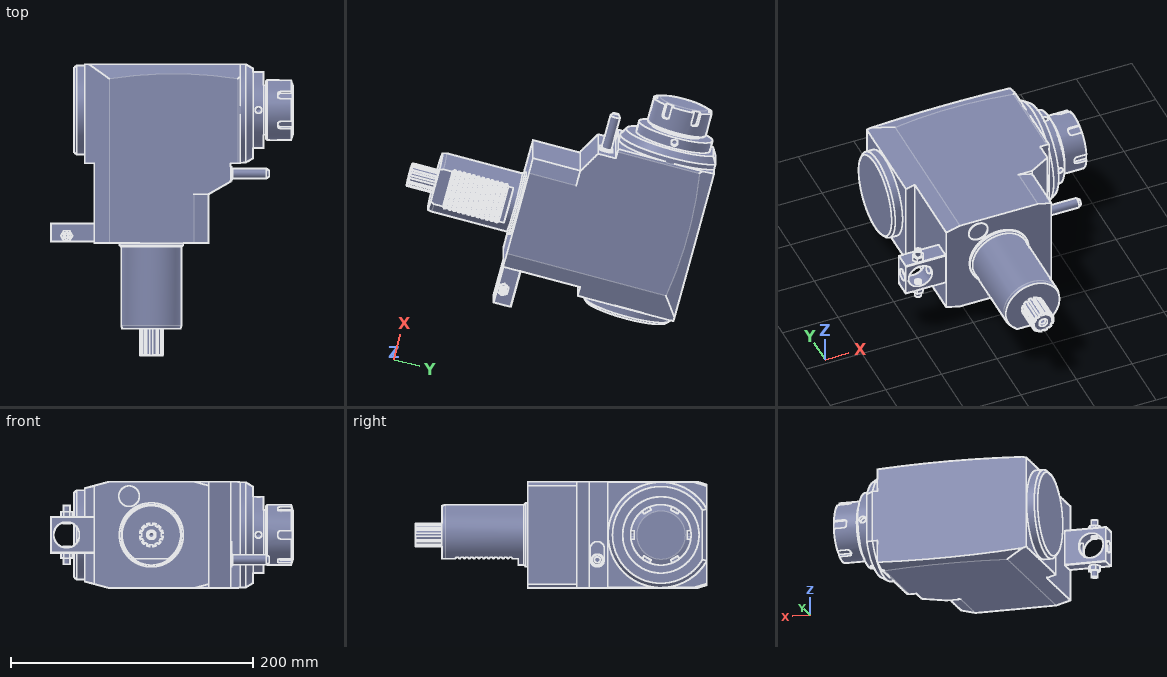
import cadquery as cq
import math


OVERLAP = 1.0

HALF_HEIGHT = 44.0
BACK_Y = 148.0
LOWER_HALF_WIDTH = 47.3
BEVEL_START_X = 35.0
BEVEL_SLOPE = math.tan(math.radians(15))
UPPER_LEFT_X = -55.2
UPPER_RIGHT_X = 73.6
RIGHT_BEVEL_X = 71.4
UPPER_BOTTOM_Y = 66.0
SHOULDER_X = 65.5
SHOULDER_Y = 50.8
NECK_Y = 40.4
CROWN_MID_Y = 140.2
CROWN_END_Y = 136.0
CROWN_SLOPE = math.tan(math.radians(17))

PLUG_X = -18.4
PLUG_Z = 32.0
PLUG_RADIUS = 8.5
PLUG_DEPTH = 0.5

SPINDLE_Y = 110.0
CAP_RADIUS = 37.0
CAP_FACE_RADIUS = 34.8
CAP_BEVEL_X = -61.8
CAP_END_X = -64.1
FLANGE_RADIUS = 43.6
FLANGE_BEVEL_X = 77.9
FLANGE_END_X = 84.0
FLANGE_BEVEL_DEPTH = 3.6
COLLAR_RADIUS = 31.6
COLLAR_END_X = 92.8
SET_SCREW_RADIUS = 2.7
SET_SCREW_X = 88.5
SET_SCREW_DEPTH = 5.0
SET_SCREW_COUNT = 4
SPINDLE_NECK_RADIUS = 20.6
NUT_START_X = 94.6
NUT_RADIUS = 25.0
NUT_BACK_CHAMFER = 1.2
NUT_RIM_X = 115.5
NUT_END_X = 117.1
NUT_FACE_RADIUS = 20.0
NUT_SLOT_COUNT = 6
NUT_SLOT_START_X = 104.5
NUT_SLOT_WIDTH = 6.8
NUT_SLOT_DEPTH = 3.0
NUT_SLOT_CORNER = 2.4

SHANK_RADIUS = 25.0
SHANK_LENGTH = 70.9
SHANK_CHAMFER_LENGTH = 2.9
SHANK_CHAMFER_DEPTH = 0.8
SHANK_COLLAR_RADIUS = 26.5
SHANK_COLLAR_LENGTH = 1.6
SHANK_FLAT_Z = -19.9
SHANK_FLAT_START = 8.0
RACK_START = 12.25
RACK_PITCH = 4.0
RACK_COUNT = 12
RACK_FLOOR = 1.2
RACK_DEPTH = 1.4
SPLINE_END = 93.0
SPLINE_RADIUS = 9.8
SPLINE_ROOT_RADIUS = 8.1
SPLINE_COUNT = 12
SPLINE_GAP = 2.3
SPLINE_CHAMFER = 0.6
CENTER_HOLE_RADIUS = 2.4
CENTER_HOLE_DEPTH = 10.0
CENTER_SINK_RADIUS = 3.8

BRACKET_END_X = -83.0
BRACKET_FRONT_Y = 1.2
BRACKET_BACK_Y = 16.4
BRACKET_HALF_HEIGHT = 15.0
BRACKET_CHAMFER = 0.5
EYE_X = -70.0
EYE_RADIUS = 10.6
SIDE_HOLE_Y = 8.7
SIDE_HOLE_RADIUS = 5.0
SIDE_HOLE_END_X = -54.0
DRILL_TIP_SLOPE = 0.5
STUD_Y = 6.1
STUD_RADIUS = 2.8
STUD_INNER_Z = 9.3
STUD_OUTER_Z = 24.4
NUT_HEX_FLATS = 8.4
NUT_HEX_HEIGHT = 4.2
SOCKET_FLATS = 2.5

PIN_Y = 57.5
PIN_Z = -20.6
PIN_RADIUS = 4.2
PIN_END_X = 97.6
PIN_CHAMFER_LENGTH = 2.6
PIN_CHAMFER_DEPTH = 1.8
PIN_SEAT_RADIUS = 5.2
PIN_SEAT_LENGTH = 1.9
PIN_PLATE_WIDTH = 11.6
PIN_PLATE_TOP_Z = -5.5
PIN_PLATE_THICKNESS = 0.8


def turned(half_profile, plane, origin):
    """Solid of revolution about the plane's local X axis; points are (along, radius)."""
    return (
        cq.Workplane(plane, origin=origin)
        .polyline(half_profile)
        .close()
        .revolve(360, (0, 0), (1, 0))
    )


def turned_about_spindle(half_profile):
    return turned(half_profile, "XY", (0, SPINDLE_Y, 0))


def turned_about_shank(half_profile):
    """Points are (distance from the mounting face toward -Y, radius)."""
    shank_plane = cq.Plane(origin=(0, 0, 0), xDir=(0, -1, 0), normal=(0, 0, 1))
    return cq.Workplane(shank_plane).polyline(half_profile).close().revolve(360, (0, 0), (1, 0))


def cylinder(start, direction, radius, length):
    return cq.Workplane(cq.Solid.makeCylinder(radius, length, cq.Vector(*start), cq.Vector(*direction)))


def bevel_z(run):
    """Half height left after a bevel has run sideways by the given distance."""
    return HALF_HEIGHT - run * BEVEL_SLOPE


def make_housing():
    outline = [
        (-LOWER_HALF_WIDTH, 0),
        (LOWER_HALF_WIDTH, 0),
        (LOWER_HALF_WIDTH, NECK_Y),
        (SHOULDER_X, SHOULDER_Y),
        (SHOULDER_X, UPPER_BOTTOM_Y),
        (UPPER_RIGHT_X, UPPER_BOTTOM_Y),
        (UPPER_RIGHT_X, BACK_Y),
        (UPPER_LEFT_X, BACK_Y),
        (UPPER_LEFT_X, UPPER_BOTTOM_Y),
        (-LOWER_HALF_WIDTH, UPPER_BOTTOM_Y),
    ]
    block = cq.Workplane("XY").polyline(outline).close().extrude(HALF_HEIGHT, both=True)

    left_z = bevel_z(-UPPER_LEFT_X - BEVEL_START_X)
    right_z = bevel_z(UPPER_RIGHT_X - RIGHT_BEVEL_X)
    section = [
        (UPPER_LEFT_X, left_z),
        (-BEVEL_START_X, HALF_HEIGHT),
        (RIGHT_BEVEL_X, HALF_HEIGHT),
        (UPPER_RIGHT_X, right_z),
        (UPPER_RIGHT_X, -right_z),
        (RIGHT_BEVEL_X, -HALF_HEIGHT),
        (-BEVEL_START_X, -HALF_HEIGHT),
        (UPPER_LEFT_X, -left_z),
    ]
    envelope = cq.Workplane("XZ").polyline(section).close().extrude(-BACK_Y)
    return block.intersect(envelope).intersect(make_crown()).cut(make_lower_right_bevels())


def make_crown():
    """Double cone, widest at mid height, whose upper and lower cones bevel the back edges."""
    half_chord = (RIGHT_BEVEL_X + BEVEL_START_X) / 2
    rise = CROWN_MID_Y - CROWN_END_Y
    edge_radius = (half_chord**2 + rise**2) / (2 * rise)
    waist_radius = edge_radius + HALF_HEIGHT / CROWN_SLOPE
    axis_x = (RIGHT_BEVEL_X - BEVEL_START_X) / 2
    axis_y = CROWN_MID_Y - edge_radius
    half_profile = [
        (0, -HALF_HEIGHT),
        (edge_radius, -HALF_HEIGHT),
        (waist_radius, 0),
        (edge_radius, HALF_HEIGHT),
        (0, HALF_HEIGHT),
    ]
    return (
        cq.Workplane("XZ", origin=(axis_x, axis_y, 0))
        .polyline(half_profile)
        .close()
        .revolve(360, (0, 0), (0, 1))
    )


def make_lower_right_bevels():
    edge_z = bevel_z(LOWER_HALF_WIDTH - BEVEL_START_X)
    wedge = (
        cq.Workplane("XZ")
        .polyline([
            (BEVEL_START_X, HALF_HEIGHT),
            (LOWER_HALF_WIDTH, edge_z),
            (LOWER_HALF_WIDTH, HALF_HEIGHT),
        ])
        .close()
        .extrude(-NECK_Y)
    )
    return wedge.union(wedge.mirror("XY"))


def make_plug_recess():
    return cylinder((PLUG_X, 0, PLUG_Z), (0, 1, 0), PLUG_RADIUS, PLUG_DEPTH)


def make_cap():
    return turned_about_spindle([
        (UPPER_LEFT_X + OVERLAP, 0),
        (UPPER_LEFT_X + OVERLAP, CAP_RADIUS),
        (CAP_BEVEL_X, CAP_RADIUS),
        (CAP_END_X, CAP_FACE_RADIUS),
        (CAP_END_X, 0),
    ])


def flange_disc(radius, top_y, start_x, end_x):
    """Disc on the spindle axis, cut off flat at the given y."""
    disc = cylinder((start_x, SPINDLE_Y, 0), (1, 0, 0), radius, end_x - start_x)
    keep = cq.Workplane("XY").box(2 * end_x, 2 * top_y, 4 * radius).translate((end_x, 0, 0))
    return disc.intersect(keep)


def make_flange():
    body = flange_disc(FLANGE_RADIUS, BACK_Y, UPPER_RIGHT_X - OVERLAP, FLANGE_END_X)
    cone = turned_about_spindle([
        (0, 0),
        (0, FLANGE_RADIUS),
        (FLANGE_BEVEL_X, FLANGE_RADIUS),
        (FLANGE_END_X, FLANGE_RADIUS - FLANGE_BEVEL_DEPTH),
        (FLANGE_END_X, 0),
    ])
    flat_bevel = (
        cq.Workplane("XY")
        .polyline([
            (FLANGE_BEVEL_X, BACK_Y),
            (FLANGE_END_X, BACK_Y),
            (FLANGE_END_X, BACK_Y - FLANGE_BEVEL_DEPTH),
        ])
        .close()
        .extrude(FLANGE_RADIUS, both=True)
    )
    return body.intersect(cone).cut(flat_bevel)


def make_spindle_nose():
    collar_and_nut = turned_about_spindle([
        (FLANGE_END_X - OVERLAP, 0),
        (FLANGE_END_X - OVERLAP, COLLAR_RADIUS),
        (COLLAR_END_X, COLLAR_RADIUS),
        (COLLAR_END_X, SPINDLE_NECK_RADIUS),
        (NUT_START_X, SPINDLE_NECK_RADIUS),
        (NUT_START_X, NUT_RADIUS - NUT_BACK_CHAMFER),
        (NUT_START_X + NUT_BACK_CHAMFER, NUT_RADIUS),
        (NUT_RIM_X, NUT_RADIUS),
        (NUT_END_X, NUT_FACE_RADIUS),
        (NUT_END_X, 0),
    ])
    for index in range(NUT_SLOT_COUNT):
        collar_and_nut = collar_and_nut.cut(about_spindle(make_nut_slot(), index, NUT_SLOT_COUNT))
    for index in range(SET_SCREW_COUNT):
        collar_and_nut = collar_and_nut.cut(about_spindle(make_set_screw_hole(), index, SET_SCREW_COUNT))
    return collar_and_nut


def about_spindle(feature, index, count):
    return feature.rotate((0, SPINDLE_Y, 0), (1, SPINDLE_Y, 0), index * 360 / count)


def make_nut_slot():
    """Wrench slot on the -Y side of the nut, open at the nut face."""
    length = NUT_END_X - NUT_SLOT_START_X + OVERLAP
    floor_y = SPINDLE_Y - NUT_RADIUS + NUT_SLOT_DEPTH
    return (
        cq.Workplane("XZ", origin=(NUT_SLOT_START_X + length / 2, floor_y, 0))
        .rect(length, NUT_SLOT_WIDTH)
        .extrude(NUT_SLOT_DEPTH + OVERLAP)
        .edges("|Y and <X")
        .fillet(NUT_SLOT_CORNER)
    )


def make_set_screw_hole():
    start_y = SPINDLE_Y - COLLAR_RADIUS - OVERLAP
    return drilled_hole((SET_SCREW_X, start_y, 0), (0, 1, 0), SET_SCREW_RADIUS, SET_SCREW_DEPTH + OVERLAP)


def drilled_hole(start, direction, radius, depth):
    """Cylinder with a drill tip at its far end."""
    axis = cq.Vector(*direction)
    tip_start = cq.Vector(*start) + axis * depth
    tip_length = radius * DRILL_TIP_SLOPE
    tip = cq.Workplane(cq.Solid.makeCone(radius, 0, tip_length, tip_start, axis))
    return cylinder(start, direction, radius, depth).union(tip)


def make_shank():
    cone_length = SHANK_COLLAR_RADIUS - SHANK_RADIUS
    shank = turned_about_shank([
        (-OVERLAP, 0),
        (-OVERLAP, SHANK_COLLAR_RADIUS),
        (SHANK_COLLAR_LENGTH, SHANK_COLLAR_RADIUS),
        (SHANK_COLLAR_LENGTH + cone_length, SHANK_RADIUS),
        (SHANK_LENGTH - SHANK_CHAMFER_LENGTH, SHANK_RADIUS),
        (SHANK_LENGTH, SHANK_RADIUS - SHANK_CHAMFER_DEPTH),
        (SHANK_LENGTH, 0),
    ])
    return shank.cut(make_shank_rack())


def make_shank_rack():
    """Material below the shank flat, together with the clamping grooves above it."""
    side_plane = cq.Plane(origin=(0, 0, 0), xDir=(0, -1, 0), normal=(-1, 0, 0))
    flank = (RACK_PITCH - RACK_FLOOR) / 2
    points = [(SHANK_FLAT_START, -SHANK_RADIUS - OVERLAP), (SHANK_FLAT_START, SHANK_FLAT_Z)]
    for index in range(RACK_COUNT):
        start = RACK_START + index * RACK_PITCH
        points += [
            (start, SHANK_FLAT_Z),
            (start + flank, SHANK_FLAT_Z + RACK_DEPTH),
            (start + flank + RACK_FLOOR, SHANK_FLAT_Z + RACK_DEPTH),
        ]
    points += [
        (RACK_START + RACK_COUNT * RACK_PITCH, SHANK_FLAT_Z),
        (SHANK_LENGTH + OVERLAP, SHANK_FLAT_Z),
        (SHANK_LENGTH + OVERLAP, -SHANK_RADIUS - OVERLAP),
    ]
    return cq.Workplane(side_plane).polyline(points).close().extrude(SHANK_RADIUS, both=True)


def make_spline():
    spline = turned_about_shank([
        (SHANK_LENGTH - OVERLAP, 0),
        (SHANK_LENGTH - OVERLAP, SPLINE_RADIUS),
        (SPLINE_END - SPLINE_CHAMFER, SPLINE_RADIUS),
        (SPLINE_END, SPLINE_RADIUS - SPLINE_CHAMFER),
        (SPLINE_END, 0),
    ])
    gap_depth = SPLINE_RADIUS - SPLINE_ROOT_RADIUS + OVERLAP
    gap = (
        cq.Workplane("XZ", origin=(SPLINE_ROOT_RADIUS + gap_depth / 2, -SHANK_LENGTH, 0))
        .rect(gap_depth, SPLINE_GAP)
        .extrude(SPLINE_END - SHANK_LENGTH)
    )
    for index in range(SPLINE_COUNT):
        spline = spline.cut(gap.rotate((0, 0, 0), (0, 1, 0), index * 360 / SPLINE_COUNT))

    sink_depth = CENTER_SINK_RADIUS - CENTER_HOLE_RADIUS
    center_hole = turned_about_shank([
        (SPLINE_END, 0),
        (SPLINE_END, CENTER_SINK_RADIUS),
        (SPLINE_END - sink_depth, CENTER_HOLE_RADIUS),
        (SPLINE_END - CENTER_HOLE_DEPTH, CENTER_HOLE_RADIUS),
        (SPLINE_END - CENTER_HOLE_DEPTH - CENTER_HOLE_RADIUS, 0),
    ])
    return spline.cut(center_hole)


def make_bracket():
    length = OVERLAP - LOWER_HALF_WIDTH - BRACKET_END_X
    depth = BRACKET_BACK_Y - BRACKET_FRONT_Y
    center = (BRACKET_END_X + length / 2, BRACKET_FRONT_Y + depth / 2, 0)
    bracket = (
        cq.Workplane("XY")
        .box(length, depth, 2 * BRACKET_HALF_HEIGHT)
        .translate(center)
        .edges("|X")
        .chamfer(BRACKET_CHAMFER)
    )
    side_hole = drilled_hole(
        (BRACKET_END_X, SIDE_HOLE_Y, 0), (1, 0, 0), SIDE_HOLE_RADIUS, SIDE_HOLE_END_X - BRACKET_END_X
    )
    eye = cylinder((EYE_X, BRACKET_FRONT_Y, 0), (0, 1, 0), EYE_RADIUS, depth)
    stud = make_stud()
    return bracket.cut(side_hole).cut(eye).union(stud).union(stud.mirror("XY"))


def stud_hexagon(across_flats, start_z, end_z):
    """Hexagonal prism on the stud axis with two corners along X."""
    corner_diameter = across_flats / math.cos(math.pi / 6)
    return (
        cq.Workplane("XY", origin=(EYE_X, STUD_Y, start_z))
        .polygon(6, corner_diameter)
        .extrude(end_z - start_z)
    )


def make_stud():
    """Upper stud with its hexagonal lock nut and a hexagonal socket through its length."""
    stud = cylinder((EYE_X, STUD_Y, STUD_INNER_Z), (0, 0, 1), STUD_RADIUS, STUD_OUTER_Z - STUD_INNER_Z)
    lock_nut = stud_hexagon(
        NUT_HEX_FLATS, BRACKET_HALF_HEIGHT - OVERLAP, BRACKET_HALF_HEIGHT + NUT_HEX_HEIGHT
    )
    socket = stud_hexagon(SOCKET_FLATS, STUD_INNER_Z, STUD_OUTER_Z)
    return stud.union(lock_nut).cut(socket)


def make_locating_pin():
    pin = turned([
        (SHOULDER_X - OVERLAP, 0),
        (SHOULDER_X - OVERLAP, PIN_SEAT_RADIUS),
        (SHOULDER_X, PIN_SEAT_RADIUS),
        (SHOULDER_X + PIN_SEAT_LENGTH, PIN_RADIUS),
        (PIN_END_X - PIN_CHAMFER_LENGTH, PIN_RADIUS),
        (PIN_END_X, PIN_RADIUS - PIN_CHAMFER_DEPTH),
        (PIN_END_X, 0),
    ], "XY", (0, PIN_Y, PIN_Z))

    plate_bottom_z = PIN_Z - PIN_PLATE_WIDTH / 2
    plate_length = PIN_PLATE_TOP_Z - plate_bottom_z
    plate = (
        cq.Workplane("YZ", origin=(SHOULDER_X - OVERLAP, PIN_Y, plate_bottom_z + plate_length / 2))
        .slot2D(plate_length, PIN_PLATE_WIDTH, 90)
        .extrude(OVERLAP + PIN_PLATE_THICKNESS)
    )
    return pin.union(plate)


result = (
    make_housing()
    .cut(make_plug_recess())
    .union(make_cap())
    .union(make_flange())
    .union(make_spindle_nose())
    .union(make_shank())
    .union(make_spline())
    .union(make_bracket())
    .union(make_locating_pin())
)